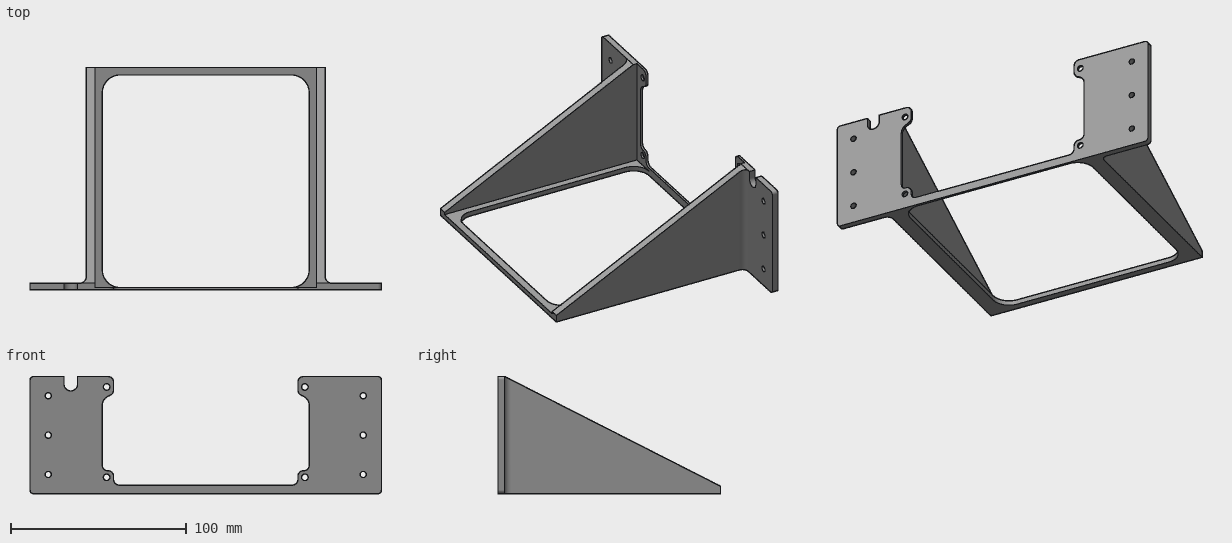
import cadquery as cq

WIDTH = 199.8
DEPTH = 126.5
HEIGHT = 66.7

EAR_THICKNESS = 3.8
WEB_THICKNESS = 1.4
OUTER_CORNER_RADIUS = 2.0

TRAY_WIDTH = 135.9
WALL_THICKNESS = 5.0
FLOOR_THICKNESS = 3.0
WALL_REAR_HEIGHT = 4.4
WALL_ROOT_RADIUS = 3.8
FLOOR_RIM = 4.4
FLOOR_CORNER_RADIUS = 10.0

WINDOW_HALF_WIDTH = 58.7
TAB_HALF_GAP = 52.3
SILL_HEIGHT = 5.0
LOWER_TAB_TOP = 13.2
UPPER_TAB_ROOT = 53.7
UPPER_TAB_TIP = 57.0
UPPER_ROOT_RADIUS = 5.2
UPPER_TIP_RADIUS = 3.2
LOWER_ROOT_RADIUS = 3.0
TAB_RADIUS = 3.2
MOUTH_RADIUS = 3.2

EAR_HOLE_DIAMETER = 3.4
EAR_HOLE_X = WIDTH / 2 - 10.4
EAR_HOLE_PITCH = 22.4
TAB_HOLE_DIAMETER = 3.5
TAB_HOLE_X = 56.3
TAB_HOLE_HEIGHTS = (9.4, 60.7)
NOTCH_X = -76.7
NOTCH_WIDTH = 7.5
NOTCH_DEPTH = 8.2

INNER_WIDTH = TRAY_WIDTH - 2 * WALL_THICKNESS


def box(width, y_start, y_end, z_start, z_end):
    """Block centred on X between the given Y and Z limits."""
    return (
        cq.Workplane("XY")
        .box(width, y_end - y_start, z_end - z_start, centered=(True, False, False))
        .translate((0, y_start, z_start))
    )


def front_sketch():
    """Sketch plane on the front face: local axes are X and Z, depth runs toward -Y."""
    return cq.Workplane("XZ")


def front_plate():
    plate = box(WIDTH, 0, EAR_THICKNESS, 0, HEIGHT)
    return plate.edges("|Y").fillet(OUTER_CORNER_RADIUS)


def side_walls():
    """Two walls sloping down to the rear, with filleted roots behind the ears."""
    root_y = EAR_THICKNESS + WALL_ROOT_RADIUS
    half_width = TRAY_WIDTH / 2
    walls = box(TRAY_WIDTH, 0, DEPTH, 0, HEIGHT)
    for side in (-1, 1):
        flare_x = side * (half_width + WALL_ROOT_RADIUS)
        wall_x = side * half_width
        root = (
            cq.Workplane("XY")
            .moveTo(wall_x, EAR_THICKNESS)
            .lineTo(flare_x, EAR_THICKNESS)
            .radiusArc((wall_x, root_y), side * WALL_ROOT_RADIUS)
            .close()
            .extrude(HEIGHT)
        )
        walls = walls.union(root)
    profile = (
        cq.Workplane("YZ")
        .polyline([
            (0, 0),
            (DEPTH, 0),
            (DEPTH, WALL_REAR_HEIGHT),
            (EAR_THICKNESS, HEIGHT),
            (0, HEIGHT),
        ])
        .close()
        .extrude(WIDTH / 2, both=True)
    )
    return walls.intersect(profile)


def tray_cavity():
    return box(INNER_WIDTH, WEB_THICKNESS, DEPTH, FLOOR_THICKNESS, HEIGHT)


def floor_opening():
    opening = box(2 * WINDOW_HALF_WIDTH, WEB_THICKNESS, DEPTH - FLOOR_RIM, 0, FLOOR_THICKNESS)
    return opening.edges("|Z").fillet(FLOOR_CORNER_RADIUS)


def window():
    """Open-topped window, its side corners rounded in mirrored pairs."""
    right_side = [
        (TAB_HALF_GAP, SILL_HEIGHT, TAB_RADIUS),
        (TAB_HALF_GAP, LOWER_TAB_TOP, TAB_RADIUS),
        (WINDOW_HALF_WIDTH, LOWER_TAB_TOP, LOWER_ROOT_RADIUS),
        (WINDOW_HALF_WIDTH, UPPER_TAB_ROOT, UPPER_ROOT_RADIUS),
        (TAB_HALF_GAP, UPPER_TAB_TIP, UPPER_TIP_RADIUS),
    ]
    right_points = [(x, z) for x, z, _ in right_side]
    right_points.append((TAB_HALF_GAP, HEIGHT))
    left_points = [(-x, z) for x, z in reversed(right_points)]
    cutter = (
        front_sketch()
        .polyline(right_points + left_points)
        .close()
        .extrude(-EAR_THICKNESS)
    )
    middle_y = EAR_THICKNESS / 2
    for x, z, radius in right_side:
        for side in (-1, 1):
            corner = cq.selectors.NearestToPointSelector((side * x, middle_y, z))
            cutter = cutter.edges("|Y").edges(corner).fillet(radius)
    return cutter


def mouth_corner(side):
    """Waste outside the rounded top corner of an upper tab."""
    inner_x = side * TAB_HALF_GAP
    return (
        front_sketch()
        .moveTo(inner_x, HEIGHT)
        .lineTo(inner_x, HEIGHT - MOUTH_RADIUS)
        .radiusArc((inner_x + side * MOUTH_RADIUS, HEIGHT), side * MOUTH_RADIUS)
        .close()
        .extrude(-EAR_THICKNESS)
    )


def screw_holes():
    ear_points = [
        (side * EAR_HOLE_X, HEIGHT / 2 + row * EAR_HOLE_PITCH)
        for side in (-1, 1)
        for row in (-1, 0, 1)
    ]
    tab_points = [(side * TAB_HOLE_X, z) for side in (-1, 1) for z in TAB_HOLE_HEIGHTS]
    ear_holes = front_sketch().pushPoints(ear_points).circle(EAR_HOLE_DIAMETER / 2)
    tab_holes = front_sketch().pushPoints(tab_points).circle(TAB_HOLE_DIAMETER / 2)
    return ear_holes.extrude(-EAR_THICKNESS).union(tab_holes.extrude(-EAR_THICKNESS))


def cable_notch():
    """Round-bottomed slot open at the top of the left ear."""
    radius = NOTCH_WIDTH / 2
    arc_z = HEIGHT - NOTCH_DEPTH + radius
    return (
        front_sketch()
        .moveTo(NOTCH_X - radius, HEIGHT)
        .lineTo(NOTCH_X - radius, arc_z)
        .threePointArc((NOTCH_X, HEIGHT - NOTCH_DEPTH), (NOTCH_X + radius, arc_z))
        .lineTo(NOTCH_X + radius, HEIGHT)
        .close()
        .extrude(-EAR_THICKNESS)
    )


result = front_plate().union(side_walls())
result = result.cut(tray_cavity()).cut(floor_opening())
result = result.cut(window()).cut(screw_holes()).cut(cable_notch())
for tab_side in (-1, 1):
    result = result.cut(mouth_corner(tab_side))